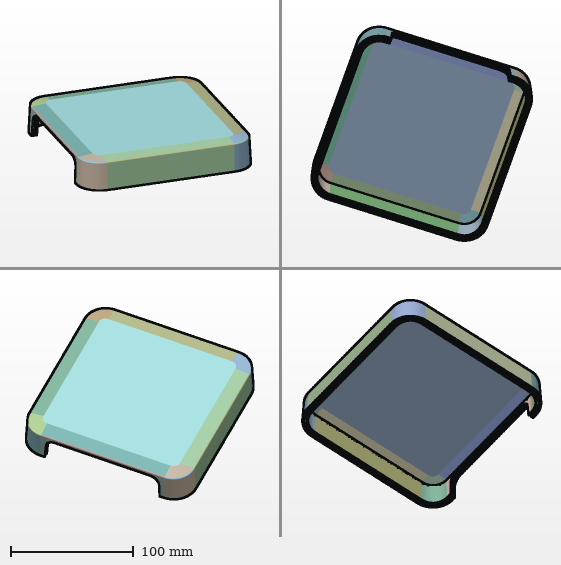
import cadquery as cq
import math

width = 150.0
height = 25.0
corner_radius = 20.0
wall_draft = 3.0

flat_width = 121.8
border_rise = 1.2
edge_round_diameter = 2.0
shoulder_height = height - border_rise
shoulder_width = width - 2 * shoulder_height * math.tan(math.radians(wall_draft))
border_run = (shoulder_width - flat_width) / 2
border_taper = math.degrees(math.atan2(border_run, border_rise))

wall_thickness = 2.0
top_thickness = 2.0
gap_width = 1.8
inner_wall_thickness = 1.0
gap_inset = wall_thickness + gap_width
inner_space_inset = gap_inset + inner_wall_thickness

opening_width = 102.3
opening_height = 20.5
opening_corner_radius = 8.0
opening_side_angle = 3.0
opening_depth = 2 * inner_space_inset


def rounded_square(size, radius):
    return cq.Sketch().rect(size, size).vertices().fillet(radius)


def drafted_block(inset, block_height):
    """Rounded block standing on Z = 0, with its base set in from the cover's base outline."""
    base = rounded_square(width - 2 * inset, corner_radius - inset)
    return cq.Workplane("XY").placeSketch(base).extrude(block_height, taper=wall_draft)


def cover_body():
    """Solid outer form: drafted sides, sloping border and a rounded upper edge."""
    sides = drafted_block(0, shoulder_height)
    shoulder_radius = corner_radius - (width - shoulder_width) / 2
    border = (
        cq.Workplane("XY", origin=(0, 0, shoulder_height))
        .placeSketch(rounded_square(shoulder_width, shoulder_radius))
        .extrude(border_rise, taper=border_taper)
    )
    shoulder_edges = cq.selectors.BoxSelector(
        (-width, -width, shoulder_height - border_rise / 4),
        (width, width, shoulder_height + border_rise / 4),
    )
    return sides.union(border).edges(shoulder_edges).fillet(edge_round_diameter / 2)


def underside_space(body):
    """Space below a ceiling that follows the top, less the inner wall hanging from it."""
    below_ceiling = body.translate((0, 0, -top_thickness))
    inner_wall = drafted_block(gap_inset, height).cut(drafted_block(inner_space_inset, height))
    return drafted_block(wall_thickness, height).intersect(below_ceiling).cut(inner_wall)


def front_opening():
    """Cutter through both front walls, with leaning sides and rounded upper corners."""
    half_base = opening_width / 2
    half_top = half_base - opening_height * math.tan(math.radians(opening_side_angle))
    return (
        cq.Workplane("XZ", origin=(0, -width / 2, 0))
        .polyline([
            (-half_base, 0),
            (-half_top, opening_height),
            (half_top, opening_height),
            (half_base, 0),
        ])
        .close()
        .extrude(-opening_depth)
        .edges("|Y and (not <Z)")
        .fillet(opening_corner_radius)
    )


body = cover_body()
result = body.cut(underside_space(body)).cut(front_opening())